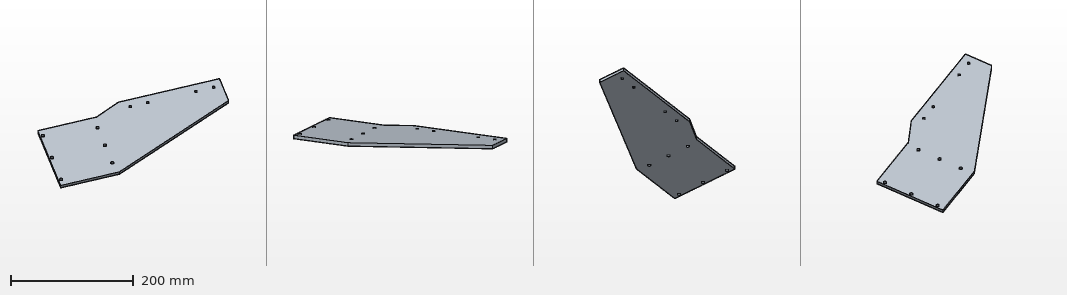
import cadquery as cq

length = 316.0
width = 145.3
thickness = 6.0

base_width = 125.0
base_height = 100.0
tip_width = 50.0
arm_side_length = 172.5
base_left = width - base_width
base_center = base_left + base_width / 2

arm_hole_diameter = 4.0
arm_hole_inset = 15.0
arm_pair_spacing = 30.0
arm_pair_offset = 112.0

base_hole_diameter = 5.0
lower_row_height = 4.7
lower_row_pitch = 50.0
upper_row_height = 94.8
upper_row_pitch = 40.0


def make_plate():
    outline = [
        (base_left, 0),
        (width, 0),
        (width, base_height),
        (tip_width, length),
        (0, length),
        (0, length - arm_side_length),
        (base_left, base_height),
    ]
    return cq.Workplane("XY").polyline(outline).close().extrude(thickness)


def make_drills(points, diameter):
    return cq.Workplane("XY").pushPoints(points).circle(diameter / 2).extrude(thickness)


def base_row(height, pitch):
    return [(base_center + step * pitch, height) for step in (-1, 0, 1)]


first_hole_y = length - arm_hole_inset
arm_holes = [
    (arm_hole_inset, first_hole_y - pair * arm_pair_offset - hole * arm_pair_spacing)
    for pair in (0, 1)
    for hole in (0, 1)
]
base_holes = base_row(lower_row_height, lower_row_pitch) + base_row(upper_row_height, upper_row_pitch)

result = (
    make_plate()
    .cut(make_drills(arm_holes, arm_hole_diameter))
    .cut(make_drills(base_holes, base_hole_diameter))
)